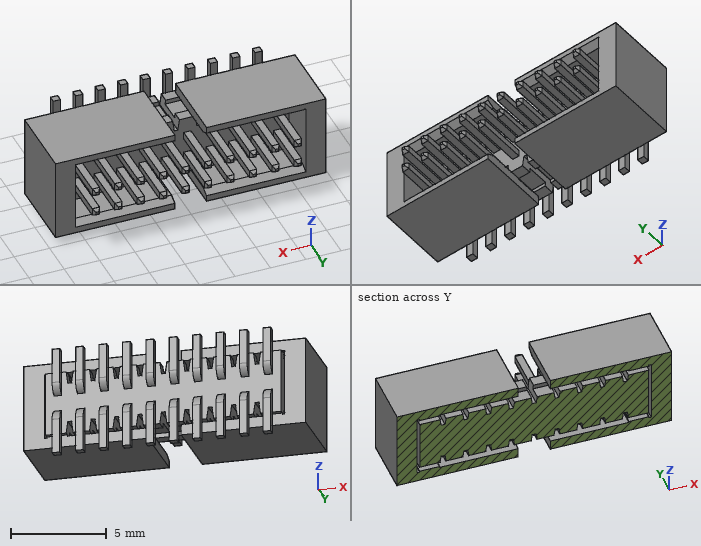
import cadquery as cq

contact_count = 10
pitch = 1.27
pin_width = 0.41
row_height = pitch / 2
pin_tip_y = 5.57
tip_length = 0.21
tip_width = 0.17
leg_thickness = 0.4
leg_end_z = 2.92
bend_height = 0.61

insulator_length = 12.75
insulator_height = 3.45
insulator_depth = 2.5
recess_start_y = 0.61
recess_length = 1.28
recess_depth = 0.25
notch_mouth_width = 0.38
notch_floor_width = 0.2
notch_depth = 0.64

shroud_length = 15.27
shroud_height = 4.75
shroud_depth = 4.26
shroud_front_y = 0.26
cavity_length = 13.0
cavity_height = 3.57
gap_width = 1.79
lead_in_height = 0.23
lead_in_depth = 0.46


def box_from_front(length, depth, height, front_y):
    """Box centred on X and Z that starts at front_y and runs toward +Y."""
    return cq.Workplane("XY").box(length, depth, height).translate((0, front_y + depth / 2, 0))


def row_positions(count):
    """X positions of a row of evenly pitched items, centred on X = 0."""
    return [(i - (count - 1) / 2) * pitch for i in range(count)]


def both_sides(upper):
    """An upper feature together with its mirror image below the XY plane."""
    return upper.union(upper.mirror("XY"))


def make_notch():
    """Tapered slot cut down into the top of the insulator, along its full depth."""
    top = insulator_height / 2
    floor = top - notch_depth
    outline = [
        (-notch_mouth_width / 2, top),
        (-notch_floor_width / 2, floor),
        (notch_floor_width / 2, floor),
        (notch_mouth_width / 2, top),
    ]
    return cq.Workplane("XZ").polyline(outline).close().extrude(-insulator_depth)


def make_insulator():
    body = box_from_front(insulator_length, insulator_depth, insulator_height, 0)
    recess = box_from_front(insulator_length, recess_length, insulator_height, recess_start_y).cut(
        box_from_front(
            insulator_length, recess_length, insulator_height - 2 * recess_depth, recess_start_y
        )
    )
    body = body.cut(recess)
    notch_pair = both_sides(make_notch())
    for x in row_positions(contact_count - 1):
        body = body.cut(notch_pair.translate((x, 0, 0)))
    return body


def make_shroud():
    shell = box_from_front(shroud_length, shroud_depth, shroud_height, shroud_front_y)
    cavity = box_from_front(cavity_length, shroud_depth, cavity_height, shroud_front_y)
    gap = box_from_front(gap_width, shroud_depth, shroud_height, shroud_front_y)
    rear_y = shroud_front_y + shroud_depth
    wall_z = cavity_height / 2
    lead_in_outline = [
        (rear_y - lead_in_depth, wall_z),
        (rear_y, wall_z),
        (rear_y, wall_z + lead_in_height),
    ]
    lead_in = cq.Workplane("YZ").polyline(lead_in_outline).close().extrude(cavity_length / 2, both=True)
    return shell.cut(cavity).cut(both_sides(lead_in)).cut(gap)


def make_seats():
    """Upper pads at both ends of the cavity that hold the end teeth of the insulator."""
    inner_x = (contact_count / 2 - 1) * pitch + notch_mouth_width / 2
    length = insulator_length / 2 - inner_x
    height = (cavity_height - insulator_height) / 2
    depth = insulator_depth - shroud_front_y
    pad = box_from_front(length, depth, height, shroud_front_y).translate(
        (inner_x + length / 2, 0, (insulator_height + height) / 2)
    )
    return pad.union(pad.mirror("YZ"))


def make_contact():
    """Upper contact: straight pin, tapered tip, and a leg turned up at the front."""
    shank_length = pin_tip_y - tip_length
    shank = box_from_front(pin_width, shank_length, pin_width, 0)
    tip = (
        cq.Workplane("XZ", origin=(0, shank_length, 0))
        .rect(pin_width, pin_width)
        .workplane(offset=-tip_length)
        .rect(tip_width, tip_width)
        .loft(ruled=True)
    )
    pin = shank.union(tip).translate((0, 0, row_height))

    pin_inner_z = row_height - pin_width / 2
    leg = (
        cq.Workplane("YZ", origin=(-pin_width / 2, 0, 0))
        .moveTo(0, leg_end_z)
        .lineTo(-leg_thickness, leg_end_z)
        .lineTo(-leg_thickness, pin_inner_z + bend_height)
        .tangentArcPoint((0, pin_inner_z), relative=False)
        .close()
        .extrude(pin_width)
    )
    return pin.union(leg)


housing = make_shroud().union(both_sides(make_seats())).union(make_insulator())

result = housing
contact_pair = both_sides(make_contact())
for contact_x in row_positions(contact_count):
    result = result.union(contact_pair.translate((contact_x, 0, 0)))